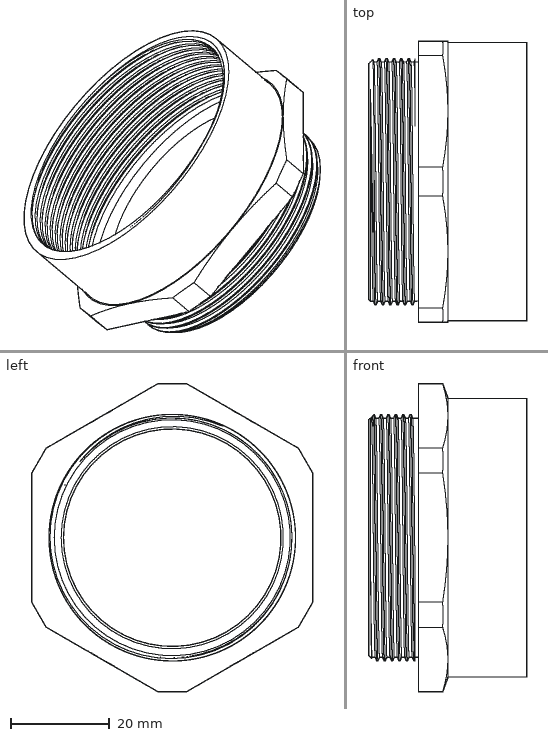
import cadquery as cq
import math

spigot_length = 10.05
flange_thickness = 6.0
body_length = 16.0
total_length = spigot_length + flange_thickness + body_length

flange_across_flats = 57.0
flange_across_corners = 62.4
flange_chamfer_depth = 1.05

spigot_diameter = 48.5
body_diameter = 56.5
bore_diameter = 44.0
socket_diameter = 52.5
socket_start = 12.55
bore_chamfer = 0.5

thread_pitch = 1.5
thread_height = 0.75
ridge_base_width = 1.0
ridge_tip_width = 0.25
thread_overlap = 0.1
male_thread_phase = 0.6
male_thread_end = 9.4
spigot_tip_radius = 23.9


def cylinder(diameter, start, length):
    """Solid cylinder along +X."""
    return cq.Workplane("YZ", origin=(start, 0, 0)).circle(diameter / 2).extrude(length)


def hexagon(across_flats, corner_angle):
    """Hexagonal prism as thick as the flange, with a corner at the given angle from +Y."""
    corner_radius = across_flats / 2 / math.cos(math.pi / 6)
    corners = []
    for index in range(6):
        angle = math.radians(corner_angle + 60 * index)
        corners.append((corner_radius * math.cos(angle), corner_radius * math.sin(angle)))
    plane = cq.Workplane("YZ", origin=(spigot_length, 0, 0))
    return plane.polyline(corners).close().extrude(flange_thickness)


def revolve_about_x(points):
    """Solid of revolution from an outline of (x, radius) points."""
    return cq.Workplane("XY").polyline(points).close().revolve(360, (0, 0, 0), (1, 0, 0))


def helical_ridge(diameter, start, turns):
    """Right-handed ridge along +X, standing outward from the given diameter."""
    radius = diameter / 2
    path = cq.Wire.makeHelix(
        thread_pitch, turns * thread_pitch, radius,
        center=cq.Vector(start, 0, 0), dir=cq.Vector(1, 0, 0),
    )
    begin = path.startPoint()
    angle = math.degrees(math.atan2(begin.z, begin.y))
    inner = radius - thread_overlap
    outer = radius + thread_height
    profile = (
        cq.Workplane("XY")
        .polyline([
            (start - ridge_base_width / 2, inner),
            (start - ridge_tip_width / 2, outer),
            (start + ridge_tip_width / 2, outer),
            (start + ridge_base_width / 2, inner),
        ])
        .close()
        .wires()
        .val()
        .rotate(cq.Vector(0, 0, 0), cq.Vector(1, 0, 0), angle)
    )
    ridge = cq.Solid.sweep(profile, [], path, True, True)
    return cq.Workplane(ridge.rotate(cq.Vector(0, 0, 0), cq.Vector(1, 0, 0), -angle))


def make_flange():
    """Hexagon with flattened corners and a conical chamfer towards the body."""
    flange = hexagon(flange_across_flats, 30).intersect(hexagon(flange_across_corners, 0))
    face = spigot_length + flange_thickness
    sharp_corner_radius = flange_across_flats / 2 / math.cos(math.pi / 6)
    corner_cut = sharp_corner_radius - flange_across_corners / 2
    flat_half_width = corner_cut * math.tan(math.pi / 3)
    corner_radius = math.hypot(flange_across_corners / 2, flat_half_width)
    envelope = revolve_about_x([
        (spigot_length, 0),
        (spigot_length, corner_radius),
        (face - flange_chamfer_depth, corner_radius),
        (face, flange_across_flats / 2),
        (face, 0),
    ])
    return flange.intersect(envelope)


def make_spigot():
    """Threaded spigot with a chamfered tip."""
    clear_radius = spigot_diameter / 2 + 2 * thread_height
    chamfer = clear_radius - spigot_tip_radius
    turns = math.ceil(male_thread_end / thread_pitch) + 2
    ridge = helical_ridge(spigot_diameter, male_thread_phase - thread_pitch, turns)
    trim = revolve_about_x([
        (0, 0),
        (0, spigot_tip_radius),
        (chamfer, clear_radius),
        (male_thread_end, clear_radius),
        (male_thread_end, 0),
    ])
    overrun = 2 * thread_pitch
    long_core = cylinder(spigot_diameter, -overrun, male_thread_end + 2 * overrun)
    threaded = long_core.union(ridge).intersect(trim)
    return threaded.union(cylinder(spigot_diameter, male_thread_end, spigot_length - male_thread_end))


def make_bore():
    """Plain bore with a chamfered mouth, opening into the wider threaded socket."""
    start = socket_start + thread_pitch
    turns = math.ceil((total_length - start) / thread_pitch) + 1
    cutter_end = start + (turns + 1) * thread_pitch
    cutter = revolve_about_x([
        (0, 0),
        (0, bore_diameter / 2 + bore_chamfer),
        (bore_chamfer, bore_diameter / 2),
        (socket_start, bore_diameter / 2),
        (socket_start, socket_diameter / 2),
        (cutter_end, socket_diameter / 2),
        (cutter_end, 0),
    ])
    return cutter.union(helical_ridge(socket_diameter, start, turns))


body = cylinder(body_diameter, spigot_length + flange_thickness, body_length)
shell = make_spigot().union(make_flange()).union(body)
result = shell.cut(make_bore())